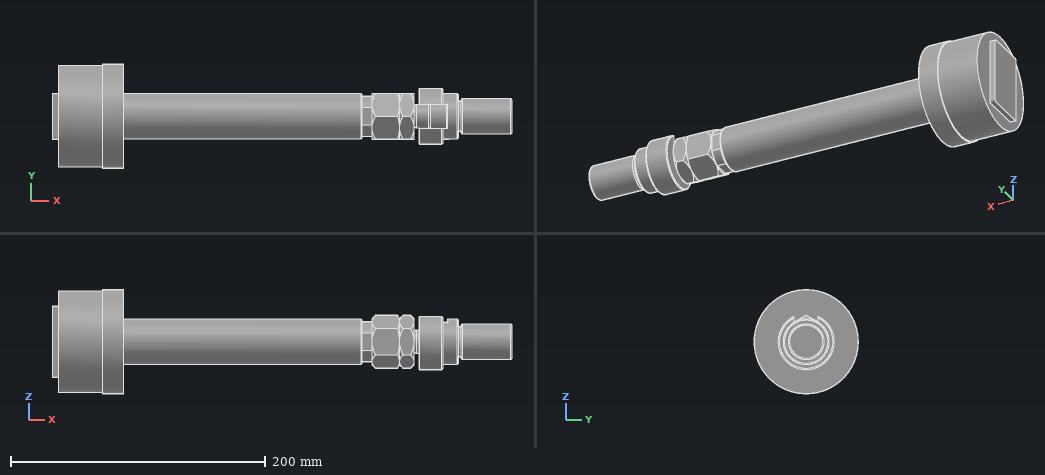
import cadquery as cq
import math

total_length = 361.5
pad_thickness = 4.7
flange_start = 39.5
head_end = 56.0
rod_shoulder = 243.5
hex_start = 251.2
locknut_start = 273.0
locknut_end = 284.5
coupling_start = 288.0
stud_head_start = 297.5
slot_end = 311.0
coupling_rim_end = 307.3
collar_end = 319.2
shaft_start = 321.5

pad_width = 36.0
pad_height = 56.0
pad_corner_radius = 1.5
disc_radius = 40.0
flange_diameter = 82.0
rod_radius = 18.0
rod_neck_radius = 17.5
rod_neck_flats = 31.8
hex_flats = 36.0
stud_shank_radius = 8.3
stud_collar_radius = 9.5
stud_collar_end_radius = 8.5
stud_head_radius = 14.0
coupling_radius = 22.0
collar_radius = 18.0
shaft_neck_radius = 12.0
shaft_radius = 14.0

small_chamfer = 1.0
rim_front_chamfer = 0.7
stud_collar_cone_depth = 1.8
hex_chamfer_depth = 3.0
hex_back_chamfer_depth = 1.5

axis_start = -total_length / 2
hex_inner_radius = hex_flats / 2
hex_corner_radius = hex_inner_radius / math.cos(math.pi / 6)


def section(start):
    """YZ sketch plane at a distance from the pad face, extruding toward +X."""
    return cq.Workplane("YZ", origin=(axis_start + start, 0, 0))


def cylinder(start, end, radius):
    return section(start).circle(radius).extrude(end - start)


def box(start, end, width, height):
    return section(start).rect(width, height).extrude(end - start)


def coned_cylinder(start, end, radius, end_radius, front_depth, back_depth):
    """Cylinder narrowed by a cone at each end, down to the end radius."""
    length = end - start
    outline = [
        (0, 0),
        (0, end_radius),
        (front_depth, radius),
        (length - back_depth, radius),
        (length, end_radius),
        (length, 0),
    ]
    return (
        cq.Workplane("XY", origin=(axis_start + start, 0, 0))
        .polyline(outline)
        .close()
        .revolve(360, (0, 0, 0), (1, 0, 0))
    )


def make_head():
    """Round head with a raised rectangular pad in front and a flange behind."""
    pad = box(0, pad_thickness, pad_width, pad_height).edges("|X").fillet(pad_corner_radius)
    disc = cylinder(pad_thickness, flange_start, disc_radius)
    flange = cylinder(flange_start, head_end, flange_diameter / 2)
    return pad.union(disc).union(flange)


def make_rod():
    """Long round rod ending in a neck with four wrench flats."""
    barrel = cylinder(head_end, rod_shoulder, rod_radius).faces(">X").chamfer(small_chamfer)
    flats = box(rod_shoulder, hex_start, rod_neck_flats, rod_neck_flats)
    neck = cylinder(rod_shoulder, hex_start, rod_neck_radius).intersect(flats)
    return barrel.union(neck)


def make_hex_nut(start, end, front_depth, back_depth):
    """Hexagon with corners up and down, coned at both ends and bored for the stud."""
    prism = (
        section(start)
        .polygon(6, 2 * hex_corner_radius)
        .extrude(end - start)
        .rotate((0, 0, 0), (1, 0, 0), 90)
    )
    cones = coned_cylinder(start, end, hex_corner_radius, hex_inner_radius, front_depth, back_depth)
    return prism.intersect(cones).cut(cylinder(start, end, stud_shank_radius))


def make_stud():
    """Shank through both nuts, a collar coned at both ends, and a wider captive head."""
    shank = cylinder(hex_start, locknut_end, stud_shank_radius)
    collar = coned_cylinder(
        locknut_end,
        stud_head_start,
        stud_collar_radius,
        stud_collar_end_radius,
        stud_collar_cone_depth,
        stud_collar_cone_depth,
    )
    head = cylinder(stud_head_start, slot_end, stud_head_radius)
    head = head.faces(">X").chamfer(small_chamfer)
    return shank.union(collar).union(head)


def make_coupling():
    """Slotted socket holding the stud head, stepping down to a round shaft."""
    rim = cylinder(coupling_start, coupling_rim_end, coupling_radius)
    rim = rim.faces("<X").chamfer(rim_front_chamfer)
    rim = rim.faces(">X").chamfer(small_chamfer)
    collar = cylinder(coupling_rim_end, collar_end, collar_radius)
    collar = collar.faces(">X").chamfer(small_chamfer)
    neck = cylinder(collar_end, shaft_start, shaft_neck_radius)
    shaft = cylinder(shaft_start, total_length, shaft_radius)
    shaft = shaft.faces("<X or >X").chamfer(small_chamfer)

    slot = box(coupling_start, slot_end, 2 * stud_collar_radius, coupling_radius)
    slot = slot.translate((0, 0, coupling_radius / 2))
    stud_passage = cylinder(coupling_start, stud_head_start, stud_collar_radius)
    head_cavity = cylinder(stud_head_start, slot_end, stud_head_radius)

    solid = rim.union(collar).union(neck).union(shaft)
    return solid.cut(slot).cut(stud_passage).cut(head_cavity)


head = make_head()
rod = make_rod()
hex_nut = make_hex_nut(hex_start, locknut_start, hex_chamfer_depth, hex_back_chamfer_depth)
locknut = make_hex_nut(locknut_start, locknut_end, hex_chamfer_depth, hex_chamfer_depth)
stud = make_stud()
coupling = make_coupling()

result = cq.Compound.makeCompound(
    [head.val(), rod.val(), hex_nut.val(), locknut.val(), stud.val(), coupling.val()]
)